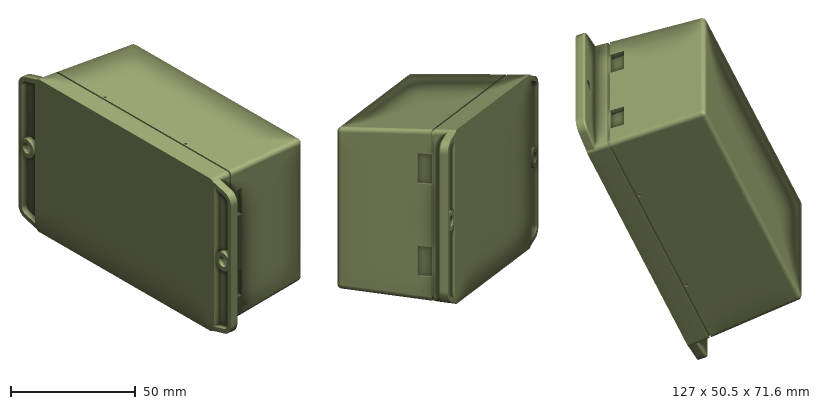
import cadquery as cq
import math

LENGTH = 127.0
DEPTH = 50.5
HEIGHT = 71.6

BOX_LENGTH = 105.9
DRAFT = 3.0
EDGE_RADIUS = 1.9

BASE_RIM_Y = 9.1
COVER_RIM_Y = 10.2
GROOVE_DEPTH = 0.6

FLANGE_THICKNESS = 4.0
FLANGE_RADIUS = 5.1
FLANGE_SLOPE = 15.0
FLANGE_SHOULDER_X = 51.8
FLANGE_SHOULDER_Z = 35.3
FLANGE_EDGE_RADIUS = 0.9

POCKET_WALL = 2.0
POCKET_DEPTH = 2.5
POCKET_INNER_X = 53.5
HOLE_X = 58.5
HOLE_RADIUS = 2.3
BOSS_RADIUS = 4.2

LATCH_DEPTH = 2.0
LATCH_TOP_Y = 16.1
LATCH_WIDTH = 12.3
LATCH_Z = 19.0

DIMPLE_X = 24.1
DIMPLE_Y = 11.2
DIMPLE_RADIUS = 0.6
DIMPLE_DEPTH = 0.6

SIDES = (-1, 1)
HOLE_CENTRES = [(side * HOLE_X, 0) for side in SIDES]


def draft_inset(y):
    """Distance the drafted walls have moved inward at height y."""
    return y * math.tan(math.radians(DRAFT))


def plane_at(y):
    """Sketch plane at height y whose extrusions run toward +Y."""
    return cq.Workplane(cq.Plane(origin=(0, y, 0), xDir=(-1, 0, 0), normal=(0, 1, 0)))


def slab(y_start, y_end, length=LENGTH, height=HEIGHT):
    """Plain block centred on the Y axis."""
    return plane_at(y_start).rect(length, height).extrude(y_end - y_start)


def enclosure_block():
    """Solid drafted box, rounded along its four long corners and its closed end."""
    return (
        plane_at(0)
        .rect(BOX_LENGTH, HEIGHT)
        .extrude(DEPTH, taper=DRAFT)
        .edges("(not(|X or |Z)) or >Y")
        .fillet(EDGE_RADIUS)
    )


def flange_outline(offset=0.0):
    """Prism of the base plate's outline, moved inward by the offset."""
    slope = math.radians(FLANGE_SLOPE)
    end_x = LENGTH / 2 - offset
    shoulder_z = FLANGE_SHOULDER_Z - offset / math.cos(slope)
    end_z = shoulder_z - (end_x - FLANGE_SHOULDER_X) * math.tan(slope)
    return (
        plane_at(0)
        .polyline([
            (-end_x, -end_z),
            (-FLANGE_SHOULDER_X, -shoulder_z),
            (FLANGE_SHOULDER_X, -shoulder_z),
            (end_x, -end_z),
            (end_x, end_z),
            (FLANGE_SHOULDER_X, shoulder_z),
            (-FLANGE_SHOULDER_X, shoulder_z),
            (-end_x, end_z),
        ])
        .close()
        .extrude(FLANGE_THICKNESS)
        .edges("|Y and (>X or <X)")
        .fillet(FLANGE_RADIUS - offset)
    )


def mounting_plate():
    """Plate whose ends stand out of the box as the two flanges."""
    return flange_outline().faces(">Y").edges().fillet(FLANGE_EDGE_RADIUS)


def flange_pockets():
    """Pockets in the underside of both flanges, leaving a boss around each screw hole."""
    middle = slab(0, POCKET_DEPTH, length=2 * POCKET_INNER_X)
    bosses = plane_at(0).pushPoints(HOLE_CENTRES).circle(BOSS_RADIUS).extrude(POCKET_DEPTH)
    return flange_outline(POCKET_WALL).intersect(slab(0, POCKET_DEPTH)).cut(middle).cut(bosses)


def screw_holes():
    """Clearance holes through both flanges."""
    return plane_at(0).pushPoints(HOLE_CENTRES).circle(HOLE_RADIUS).extrude(FLANGE_THICKNESS)


def make_base():
    """Flanged base with a set-back step that carries the cover."""
    rim_inset = draft_inset(COVER_RIM_Y) + GROOVE_DEPTH
    step_length = BOX_LENGTH - 2 * rim_inset
    step_height = HEIGHT - 2 * rim_inset
    step = slab(BASE_RIM_Y, COVER_RIM_Y, step_length, step_height).edges("|Y").fillet(EDGE_RADIUS)
    body = enclosure_block().intersect(slab(0, BASE_RIM_Y))
    return body.union(step).union(mounting_plate()).cut(flange_pockets()).cut(screw_holes())


def latch_recesses():
    """Blocks for the two latch recesses in each end face, open at the cover's rim."""
    mid_y = (COVER_RIM_Y + LATCH_TOP_Y) / 2
    end_x = BOX_LENGTH / 2 - draft_inset(LATCH_TOP_Y)
    centres = [(x * end_x, mid_y, z * LATCH_Z) for x in SIDES for z in SIDES]
    return cq.Workplane().pushPoints(centres).box(
        2 * LATCH_DEPTH, LATCH_TOP_Y - COVER_RIM_Y, LATCH_WIDTH
    )


def dimples():
    """Small round blind holes in both long faces, just above the cover's rim."""
    face_z = HEIGHT / 2 - draft_inset(DIMPLE_Y)
    floor_to_floor = 2 * (face_z - DIMPLE_DEPTH)
    pins = (
        cq.Workplane("XY")
        .pushPoints([(side * DIMPLE_X, DIMPLE_Y) for side in SIDES])
        .circle(DIMPLE_RADIUS)
        .extrude(HEIGHT / 2, both=True)
    )
    return pins.cut(slab(0, DEPTH, height=floor_to_floor))


def make_cover():
    """Deep cover that sits on the base's step."""
    body = enclosure_block().intersect(slab(COVER_RIM_Y, DEPTH))
    return body.cut(latch_recesses()).cut(dimples())


base = make_base()
cover = make_cover()

result = cq.Compound.makeCompound([base.val(), cover.val()])